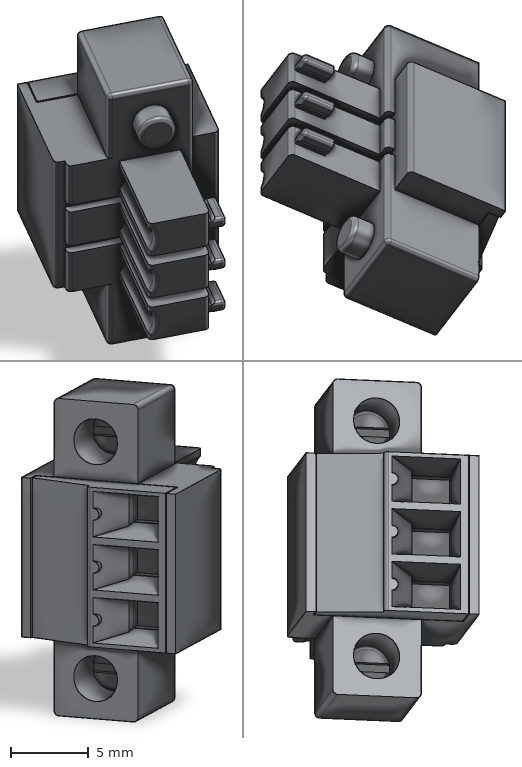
import cadquery as cq


pole_pitch = 3.5
pole_heights = [-pole_pitch, 0, pole_pitch]
edge_radius = 0.33

total_length = 20.9
total_depth = 11.1
housing_length = 10.51
shoulder_x = 8.3
mating_x = 8.9
tongue_y_min = 0.71
tongue_gap = 0.6
latch_wall_x = 1.2

insert_x = 2.03
insert_y_min = 0.71
insert_y_max = 10.4
insert_step_x = 0.45
insert_step_y = 6.19
insert_slope_x = 1.32
insert_step_radius = 0.27
joint_width = 0.06
joint_depth = 0.06

flange_x = 2.07
flange_y_min = 3.4
flange_y_max = 9.2
screw_y = 6.33
screw_z = 7.8
head_diameter = 3.0
head_recess = 3.14
head_radius = 0.3
driver_slot_width = 0.6
driver_slot_depth = 0.42
pin_diameter = 2.5
pin_end_x = 10.4

funnel_y_min = 1.21
funnel_y_max = 5.7
funnel_ramp_x = 2.05
funnel_ramp_y = 4.03
funnel_end_x = 2.68
funnel_end_y_min = 1.34
funnel_end_y_max = 3.95
funnel_mouth_height = 2.99
funnel_end_height = 1.84
socket_end_x = 3.35
socket_height = 1.78
stud_radius = 0.4

plug_end_x = 15.5
plug_y_min = 4.2
plug_y_max = 8.3
plug_root_height = 2.8
plug_tip_height = 2.72
groove_width = 1.78
groove_depth = 0.38

rib_x_min = 12.98
rib_x_max = 15.17
rib_y_max = 9.49
rib_neck_top_y = 8.55
rib_head_y = 8.82
rib_head_height = 0.8
rib_neck_height = 0.48
rib_radius = 0.27


def box(x_min, x_max, y_min, y_max, z_min, z_max):
    """Axis-aligned block between the given limits."""
    size = (x_max - x_min, y_max - y_min, z_max - z_min)
    return cq.Workplane("XY").box(*size, centered=False).translate((x_min, y_min, z_min))


def prism(points, height):
    """XY outline extruded symmetrically about Z = 0."""
    return cq.Workplane("XY").polyline(points).close().extrude(height / 2, both=True)


def rod(diameter, x_min, x_max, y, z):
    """Cylinder along X."""
    return cq.Workplane("YZ", origin=(x_min, y, z)).circle(diameter / 2).extrude(x_max - x_min)


def edge_at(x, y):
    """Selector for the Z-parallel edge nearest to a place in the XY plane."""
    return cq.selectors.NearestToPointSelector((x, y, 0))


def make_housing():
    """Central block with its front step, sloped insert face and rounded outer edges."""
    outline = [
        (0, 0),
        (shoulder_x, 0),
        (shoulder_x, tongue_y_min),
        (mating_x, tongue_y_min),
        (mating_x, flange_y_max),
        (shoulder_x, flange_y_max),
        (shoulder_x, total_depth),
        (latch_wall_x, total_depth),
        (latch_wall_x, insert_y_max),
        (insert_slope_x, insert_y_max),
        (insert_step_x, insert_step_y),
        (0, insert_step_y),
    ]
    housing = prism(outline, housing_length)
    rounded = [
        (shoulder_x, 0),
        (mating_x, tongue_y_min),
        (mating_x, flange_y_max),
        (shoulder_x, total_depth),
    ]
    for corner in rounded:
        housing = housing.edges("|Z").edges(edge_at(*corner)).fillet(edge_radius)
    return housing.edges("|Z").edges(edge_at(0, insert_step_y)).fillet(insert_step_radius)


def cut_tongue_gaps(housing):
    """Open the mating tongue between neighbouring plugs."""
    inner = plug_root_height / 2
    gap = box(shoulder_x, mating_x, 0, total_depth, inner, inner + tongue_gap)
    return housing.cut(gap).cut(gap.mirror("XY"))


def cut_insert_joint(housing):
    """Fine joint around the insert: slits along both sides, a shallow line across each end."""
    top = housing_length / 2
    for y in (insert_y_min - joint_width, insert_y_max):
        slit = box(0, insert_x, y, y + joint_width, -top, top)
        housing = housing.cut(slit)
    for z in (-top, top - joint_depth):
        line = box(
            insert_x, insert_x + joint_width,
            insert_y_min, insert_y_max + joint_width,
            z, z + joint_depth,
        )
        housing = housing.cut(line)
    return housing


def make_funnel():
    """Tapered wire entry ending in a straight socket, leaving a half-round stud at its ramped side."""
    profile = prism(
        [
            (0, funnel_y_min),
            (0, funnel_y_max),
            (funnel_ramp_x, funnel_ramp_y),
            (funnel_end_x, funnel_end_y_max),
            (funnel_end_x, funnel_end_y_min),
        ],
        funnel_mouth_height,
    )
    taper = (
        cq.Workplane("XZ")
        .polyline(
            [
                (0, -funnel_mouth_height / 2),
                (0, funnel_mouth_height / 2),
                (funnel_end_x, funnel_end_height / 2),
                (funnel_end_x, -funnel_end_height / 2),
            ]
        )
        .close()
        .extrude(-total_depth)
    )
    stud = rod(2 * stud_radius, 0, funnel_ramp_x, funnel_y_max, 0)
    socket = box(
        funnel_end_x, socket_end_x,
        funnel_end_y_min, funnel_end_y_max,
        -socket_height / 2, socket_height / 2,
    )
    return profile.intersect(taper).cut(stud).union(socket)


def make_flange(side):
    """Screw flange at one end (side = 1 or -1) with recessed slotted screw and projecting pin."""
    block = box(flange_x, mating_x, flange_y_min, flange_y_max, housing_length / 2, total_length / 2)
    block = block.edges("|X and >Z").fillet(edge_radius)
    block = block.faces(">X").edges("not <Z").fillet(edge_radius)
    head_x = flange_x + head_recess
    floor_x = head_x + driver_slot_depth
    block = block.cut(rod(head_diameter, flange_x, floor_x, screw_y, screw_z))
    head = rod(head_diameter, head_x, floor_x, screw_y, screw_z).faces("<X").edges().fillet(head_radius)
    slot = box(
        head_x, floor_x,
        flange_y_min, flange_y_max,
        screw_z - driver_slot_width / 2, screw_z + driver_slot_width / 2,
    )
    pin = rod(pin_diameter, floor_x, pin_end_x, screw_y, screw_z).faces(">X").edges().fillet(edge_radius)
    flange = block.union(head.cut(slot)).union(pin)
    return flange if side > 0 else flange.mirror("XY")


def make_plug():
    """Tapered contact plug with a shallow round groove along its front and a coding rib behind."""
    plug = (
        cq.Workplane("XZ", origin=(0, plug_y_min, 0))
        .polyline(
            [
                (shoulder_x, -plug_root_height / 2),
                (shoulder_x, plug_root_height / 2),
                (mating_x, plug_root_height / 2),
                (plug_end_x, plug_tip_height / 2),
                (plug_end_x, -plug_tip_height / 2),
                (mating_x, -plug_root_height / 2),
            ]
        )
        .close()
        .extrude(plug_y_min - plug_y_max)
    )
    groove_radius = (groove_width**2 / 4 + groove_depth**2) / (2 * groove_depth)
    groove_y = plug_y_min + groove_depth - groove_radius
    groove = rod(2 * groove_radius, mating_x, plug_end_x, groove_y, 0)
    plug = plug.cut(groove)
    plug = plug.faces(">X").edges("not |Y").fillet(edge_radius)
    return plug.union(make_rib())


def make_rib():
    """Mushroom-section coding rib along X."""
    neck = rib_neck_height / 2
    head = rib_head_height / 2
    section = [
        (plug_y_max - edge_radius, -neck),
        (rib_neck_top_y, -neck),
        (rib_head_y, -head),
        (rib_y_max, -head),
        (rib_y_max, head),
        (rib_head_y, head),
        (rib_neck_top_y, neck),
        (plug_y_max - edge_radius, neck),
    ]
    rib = (
        cq.Workplane("YZ", origin=(rib_x_min, 0, 0))
        .polyline(section)
        .close()
        .extrude(rib_x_max - rib_x_min)
    )
    rib = rib.edges("|X and >Y").fillet(rib_radius)
    return rib.faces(">Y").edges(">X").fillet(rib_radius)


body = cut_insert_joint(cut_tongue_gaps(make_housing()))
for side in (-1, 1):
    body = body.union(make_flange(side))
for z in pole_heights:
    body = body.cut(make_funnel().translate((0, 0, z)))
    body = body.union(make_plug().translate((0, 0, z)))
result = body